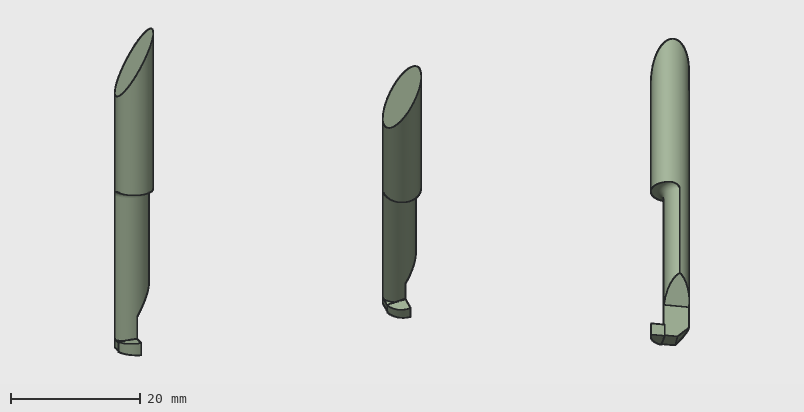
import cadquery as cq
import math


radius = 3.0
length = 52.45
end_angle = math.radians(60)
margin = 0.5
reach = radius + margin

neck_radius = 2.95
neck_side = 1.0
neck_center = neck_side - neck_radius
shoulder_z = 26.45
flare_radius = 1.1

flat_y = 0.2
rake_top_z = 5.6
chamfer_x = -1.05
relief_angle = math.radians(3.5)
relief_drop = (flat_y + radius) * math.tan(relief_angle)
seat_x = 0.85
tip_height = 2.05
block_floor = 0.1
block_height = 1.85
block_fillet = 0.2

face_x = (radius**2 - neck_radius**2 + neck_center**2) / (2 * neck_center)
face_y = -math.sqrt(radius**2 - face_x**2)


def side_prism(points, x_start, x_end):
    """Extrude a (Y, Z) outline along X between two positions."""
    return (
        cq.Workplane("YZ", origin=(x_start, 0, 0))
        .polyline(points)
        .close()
        .extrude(x_end - x_start)
    )


def relieved_head(floor, height, x_start, x_end):
    """Head slice whose top and bottom converge away from the rake face."""
    front_y = -radius
    return side_prism(
        [
            (flat_y, floor),
            (flat_y, height),
            (front_y, height - relief_drop),
            (front_y, floor + relief_drop),
        ],
        x_start,
        x_end,
    )


def round_bar(height):
    return cq.Workplane("XY").circle(radius).extrude(height)


def neck_core():
    """Revolved neck that flares to the shoulder and to the block with quarter arcs."""
    block_z = block_height - relief_drop
    fillet_end = block_z + block_fillet
    fillet_x = neck_radius + block_fillet
    fillet_offset = block_fillet * math.sqrt(0.5)
    fillet_middle = (fillet_x - fillet_offset, fillet_end - fillet_offset)
    flare_start = shoulder_z - flare_radius
    flare_x = neck_radius + flare_radius
    arc_offset = flare_radius * math.sqrt(0.5)
    arc_middle = (flare_x - arc_offset, flare_start + arc_offset)
    profile = (
        cq.Workplane("XZ")
        .lineTo(fillet_x, 0)
        .lineTo(fillet_x, block_z)
        .threePointArc(fillet_middle, (neck_radius, fillet_end))
        .lineTo(neck_radius, flare_start)
        .threePointArc(arc_middle, (flare_x, shoulder_z))
        .lineTo(0, shoulder_z)
        .close()
    )
    core = profile.revolve(360, (0, 0, 0), (0, 1, 0))
    return core.translate((neck_center, 0, 0))


def neck_waste():
    """Stock around the neck, except the block kept at the foot."""
    stock = cq.Workplane("XY").rect(2 * reach, 2 * reach).extrude(shoulder_z)
    block = relieved_head(block_floor, block_height, -reach, seat_x)
    return stock.cut(neck_core()).cut(block)


def slanted_top():
    slope = math.tan(end_angle)
    low_z = length - (radius + reach) * slope
    high_z = length + margin * slope
    return side_prism([(-reach, low_z), (reach, high_z), (-reach, high_z)], -reach, reach)


def rake_relief():
    slant_rise = (reach - flat_y) * math.tan(end_angle)
    return side_prism(
        [
            (flat_y, -margin),
            (flat_y, rake_top_z),
            (reach, rake_top_z + slant_rise),
            (reach, -margin),
        ],
        -reach,
        reach,
    )


def foot_chamfer():
    """45 degree chamfer on the -X side of the foot."""
    leg = chamfer_x + reach
    return (
        cq.Workplane("XZ", origin=(0, reach, 0))
        .polyline([(chamfer_x, 0), (-reach, leg), (-reach, 0)])
        .close()
        .extrude(2 * reach)
    )


def foot_relief():
    """Wedge that slopes the foot upwards away from the rake face."""
    front_z = block_floor + (flat_y + reach) * math.tan(relief_angle)
    outline = [(flat_y, -margin), (flat_y, block_floor), (-reach, front_z), (-reach, -margin)]
    return side_prism(outline, -reach, reach)


def block_face():
    """Trim that leaves a flat -Y face on the block."""
    outline = [(face_y, 0), (face_y, block_height), (-reach, block_height), (-reach, 0)]
    return side_prism(outline, face_x, seat_x)


def make_shank():
    shank = round_bar(length)
    cuts = [
        neck_waste(),
        slanted_top(),
        rake_relief(),
        foot_chamfer(),
        foot_relief(),
        block_face(),
        relieved_head(0, tip_height, seat_x, reach),
    ]
    for waste in cuts:
        shank = shank.cut(waste)
    return shank


def make_tip():
    envelope = relieved_head(0, tip_height, seat_x, reach)
    return round_bar(tip_height).intersect(envelope)


shank = make_shank()
cutting_tip = make_tip()

result = cq.Compound.makeCompound([shank.solids().val(), cutting_tip.solids().val()])